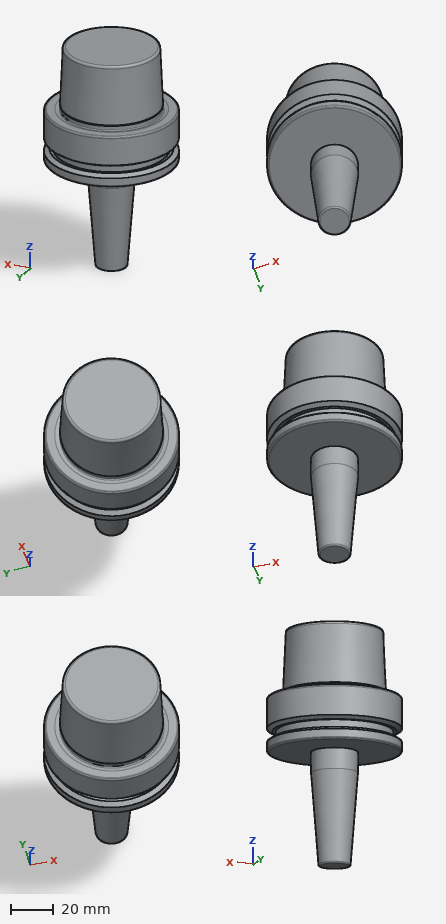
import cadquery as cq
import math

SHANK_LENGTH = 31.9
PROJECTION = 80.0

SHANK_BASE_RADIUS = 24.1
SHANK_TAPER = 1 / 22
SHANK_TOP_ROUND = 1.25
NECK_RADIUS = 23.8
NECK_LENGTH = 1.8
NECK_SHOULDER = 0.6

FLANGE_RADIUS = 63.0 / 2
FLANGE_HEIGHT = 26.0
RIM_CHAMFER = 0.8
RIM_ROUND = 0.5
FACE_INNER_RADIUS = 26.5
FACE_RELIEF_DEPTH = 0.7
NECK_ROOT_ROUND = 0.45

GROOVE_CENTER_DEPTH = 18.05
GROOVE_WIDTH = 6.7
GROOVE_FLOOR_WIDTH = 3.75
GROOVE_FLOOR_RADIUS = 27.5
GROOVE_LEDGE_RADIUS = 29.0

NOSE_RADIUS = 11.0
NOSE_STRAIGHT = 9.8
NOSE_TAPER_ANGLE = 4.5
NOSE_TIP_ROUND = 0.8


def revolve_profile(points):
    """Revolve a closed (radius, height) outline about the Z axis."""
    return cq.Workplane("XZ").polyline(points).close().revolve(360, (0, 0, 0), (0, 1, 0))


def make_shank():
    base = NECK_LENGTH + NECK_SHOULDER
    top_radius = SHANK_BASE_RADIUS - (SHANK_LENGTH - base) * SHANK_TAPER
    shank = revolve_profile([
        (0, -FACE_RELIEF_DEPTH),
        (NECK_RADIUS, -FACE_RELIEF_DEPTH),
        (NECK_RADIUS, NECK_LENGTH),
        (SHANK_BASE_RADIUS, base),
        (top_radius, SHANK_LENGTH),
        (0, SHANK_LENGTH),
    ])
    return shank.faces(">Z").edges().fillet(SHANK_TOP_ROUND)


def make_flange():
    flange = cq.Workplane("XY").circle(FLANGE_RADIUS).extrude(-FLANGE_HEIGHT)
    flange = flange.faces("|Z").edges().chamfer(RIM_CHAMFER)
    flange = flange.edges("%CIRCLE").fillet(RIM_ROUND)
    return flange.cut(make_face_relief()).cut(make_groove())


def make_face_relief():
    return revolve_profile([
        (0, 0),
        (FACE_INNER_RADIUS, 0),
        (NECK_RADIUS, -FACE_RELIEF_DEPTH),
        (0, -FACE_RELIEF_DEPTH),
    ])


def make_groove():
    outer_top = GROOVE_WIDTH / 2 - GROOVE_CENTER_DEPTH
    outer_bottom = -GROOVE_WIDTH / 2 - GROOVE_CENTER_DEPTH
    floor_top = GROOVE_FLOOR_WIDTH / 2 - GROOVE_CENTER_DEPTH
    floor_bottom = -GROOVE_FLOOR_WIDTH / 2 - GROOVE_CENTER_DEPTH
    return revolve_profile([
        (FLANGE_RADIUS, outer_top),
        (GROOVE_LEDGE_RADIUS, floor_top),
        (GROOVE_FLOOR_RADIUS, floor_top),
        (GROOVE_FLOOR_RADIUS, floor_bottom),
        (GROOVE_LEDGE_RADIUS, floor_bottom),
        (FLANGE_RADIUS, outer_bottom),
    ])


def make_nose():
    taper_top = -FLANGE_HEIGHT - NOSE_STRAIGHT
    taper_length = PROJECTION + taper_top
    tip_radius = NOSE_RADIUS - taper_length * math.tan(math.radians(NOSE_TAPER_ANGLE))
    nose = revolve_profile([
        (0, -FLANGE_HEIGHT),
        (NOSE_RADIUS, -FLANGE_HEIGHT),
        (NOSE_RADIUS, taper_top),
        (tip_radius, -PROJECTION),
        (0, -PROJECTION),
    ])
    return nose.faces("<Z").edges().fillet(NOSE_TIP_ROUND)


def round_neck_root(body):
    zone_half_height = FACE_RELIEF_DEPTH / 2
    root_zone = cq.selectors.BoxSelector(
        (-FLANGE_RADIUS, -FLANGE_RADIUS, -FACE_RELIEF_DEPTH - zone_half_height),
        (FLANGE_RADIUS, FLANGE_RADIUS, -FACE_RELIEF_DEPTH + zone_half_height),
        boundingbox=True,
    )
    return body.edges(root_zone).fillet(NECK_ROOT_ROUND)


shank_and_flange = round_neck_root(make_flange().union(make_shank()))
result = shank_and_flange.union(make_nose())